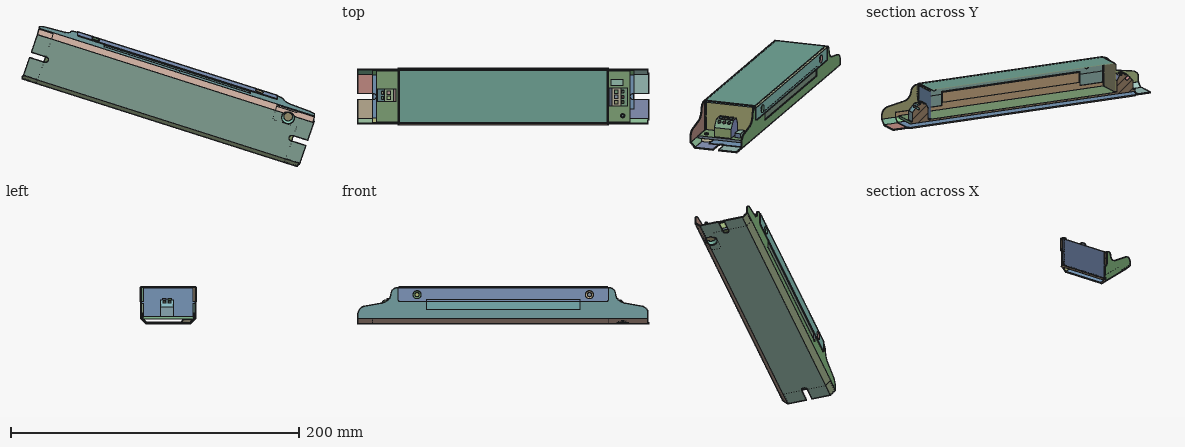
import cadquery as cq
import math

LENGTH = 202.0
WIDTH = 39.5
HEIGHT = 26.0
HALF_LENGTH = LENGTH / 2

COVER_LENGTH = 146.0
COVER_SKIN = 0.55
COVER_SKIRT_BOTTOM = 15.4
COVER_EDGE_CHAMFER = 1.1
SKIRT_CORNER_RADIUS = 1.5
END_PLATE_THICKNESS = 0.8
END_PLATE_NOTCH = 1.5
END_PANEL_WIDTH = 34.2
END_PANEL_STEP = 0.4
END_TAB_BOTTOM = 14.1
END_TAB_TOP = 15.5
HALF_COVER = COVER_LENGTH / 2

SHEET = 0.8
CHANNEL_WIDTH = WIDTH - 2 * COVER_SKIN
CHANNEL_CHAMFER = 3.7
WALL_TOP = 25.2
RIGHT_WALL_SETBACK = 0.6
SLOT_WIDTH = 4.0
SLOT_LENGTH = 13.0

WINDOW_LENGTH = 106.8
WINDOW_BOTTOM = 9.8
WINDOW_TOP = 17.0

FILM = 0.4
FILM_LENGTH = 181.2
FILM_WALL_TOP = 7.6
FILM_CUTOUT_Y = -8.7
BOARD_LENGTH = 176.2
BOARD_WIDTH = 35.4
BOARD_BOTTOM = 3.3
BOARD_THICKNESS = 1.7
BOARD_TOP = BOARD_BOTTOM + BOARD_THICKNESS
HALF_BOARD = BOARD_LENGTH / 2

DIMPLE_X = 59.8
DIMPLE_Z = 20.2
DIMPLE_OUTER_DIAMETER = 5.6
DIMPLE_INNER_DIAMETER = 2.9
DIMPLE_DEPTH = 0.9

EARTH_X = 82.9
EARTH_Y = -13.3
EARTH_BASE_DIAMETER = 10.0
EARTH_TOP_DIAMETER = 6.0
PIN_DIAMETER = 2.9
PIN_HEIGHT = 0.6
PIN_DIMPLE_DIAMETER = 1.6
PIN_DIMPLE_DEPTH = 0.3

POLE_PITCH = 3.6
TERMINAL_SIDE_WALLS = 1.6
TERMINAL_LENGTH = 12.8
TERMINAL_TOP = 16.6
TERMINAL_FRONT_HEIGHT = 11.6
TERMINAL_SLOPE_LENGTH = 4.7
TERMINAL_BACK_RUN = 2.0
TERMINAL_BACK_DROP = 3.4
WIRE_HOLE_DIAMETER = 2.2
WIRE_HOLE_DEPTH = 3.0
WIRE_HOLE_SLOPE_POSITION = 0.3
BUTTON_SIZE = 2.4
BUTTON_HEIGHT = 1.1
LEFT_POLES = 2
LEFT_TERMINAL_BACK = 74.3
LEFT_TERMINAL_Y = 0.85
RIGHT_POLES = 3
RIGHT_TERMINAL_BACK = 73.5
RIGHT_TERMINAL_Y = -0.2

COMPONENT_SIZE = (8.4, 4.2, 3.0)
COMPONENT_CENTER = (78.9, 9.7)


def block(x_range, y_range, z_range):
    """Axis-aligned box between the given limits."""
    limits = (x_range, y_range, z_range)
    sizes = [high - low for low, high in limits]
    return cq.Workplane("XY").box(*sizes, centered=False).translate([low for low, _ in limits])


def trough(length, half_width, bottom, top, chamfer):
    """Prism along X with 45 degree bottom corners."""
    flat = half_width - chamfer
    return (
        cq.Workplane("YZ", origin=(-length / 2, 0, 0))
        .moveTo(-flat, bottom)
        .lineTo(flat, bottom)
        .lineTo(half_width, bottom + chamfer)
        .lineTo(half_width, top)
        .lineTo(-half_width, top)
        .lineTo(-half_width, bottom + chamfer)
        .close()
        .extrude(length)
    )


def bent_sheet(length, offset, thickness, top):
    """Bent sheet whose outer surface lies the given offset inside the channel's outer surface."""
    def nested(depth, upper):
        chamfer = CHANNEL_CHAMFER - depth * (2 - math.sqrt(2))
        return trough(length, CHANNEL_WIDTH / 2 - depth, depth, upper, chamfer)

    return nested(offset, top).cut(nested(offset + thickness, top + 1))


def side_outline():
    """Solid across Y with the wing-shaped side outline of the channel."""
    foot_z = 6.2
    shoulder_z = 12.2
    waist_z = 14.4
    neck_z = 20.5
    shoulder_x = HALF_LENGTH - 4.2
    waist_x = HALF_LENGTH - 16.5
    neck_x = HALF_LENGTH - 23.0
    foot_bulge = (HALF_LENGTH - 1.2, 9.9)
    waist_bulge = (HALF_LENGTH - 21.3, 16.8)
    neck_bulge = (HALF_LENGTH - 24.6, 24.0)

    half = (
        cq.Workplane("XZ", origin=(0, WIDTH / 2, 0))
        .moveTo(0, 0)
        .lineTo(HALF_LENGTH, 0)
        .lineTo(HALF_LENGTH, foot_z)
        .threePointArc(foot_bulge, (shoulder_x, shoulder_z))
        .lineTo(waist_x, waist_z)
        .threePointArc(waist_bulge, (neck_x, neck_z))
        .threePointArc(neck_bulge, (HALF_COVER, WALL_TOP))
        .lineTo(0, WALL_TOP)
        .close()
        .extrude(WIDTH)
    )
    return half.union(half.mirror("YZ"))


def make_channel():
    """Bent channel with wing-shaped walls, end slots and side windows."""
    channel = bent_sheet(LENGTH, 0, SHEET, WALL_TOP).intersect(side_outline())

    wall_trim = block((HALF_LENGTH - RIGHT_WALL_SETBACK, LENGTH), (-WIDTH, WIDTH), (SHEET, HEIGHT))
    channel = channel.cut(wall_trim)

    slot = cq.Workplane("XY").center(HALF_LENGTH, 0).slot2D(2 * SLOT_LENGTH, SLOT_WIDTH).extrude(SHEET)
    channel = channel.cut(slot).cut(slot.mirror("YZ"))

    half_window = WINDOW_LENGTH / 2
    half_width = CHANNEL_WIDTH / 2
    windows = block((-half_window, half_window), (-half_width, half_width), (WINDOW_BOTTOM, WINDOW_TOP))
    return channel.cut(windows)


def make_film():
    """Insulating film lining the channel, raised behind the windows, clear of the earth contact."""
    film = bent_sheet(FILM_LENGTH, SHEET, FILM, WINDOW_TOP + SHEET)
    raised_half = WINDOW_LENGTH / 2 + SHEET
    for side in (-1, 1):
        ends = sorted((side * raised_half, side * HALF_LENGTH))
        film = film.cut(block(ends, (-WIDTH, WIDTH), (FILM_WALL_TOP, HEIGHT)))
    return film.cut(block((HALF_COVER, HALF_LENGTH), (-WIDTH, FILM_CUTOUT_Y), (0, HEIGHT)))


def make_cover():
    """Cover with chamfered top edges, rounded skirt corners and closed ends."""
    half_width = WIDTH / 2
    half_channel = CHANNEL_WIDTH / 2
    inner_half = half_channel - SHEET
    shell = block((-HALF_COVER, HALF_COVER), (-half_width, half_width), (COVER_SKIRT_BOTTOM, HEIGHT))
    shell = shell.edges("|Y and <Z").fillet(SKIRT_CORNER_RADIUS)
    shell = shell.faces(">Z").chamfer(COVER_EDGE_CHAMFER)
    cavity = block((-HALF_COVER, HALF_COVER), (-half_channel, half_channel), (0, HEIGHT - COVER_SKIN))
    cavity = cavity.edges("|X and >Z").chamfer(COVER_EDGE_CHAMFER)
    cover = shell.cut(cavity)

    end_plate = block(
        (HALF_COVER - END_PLATE_THICKNESS, HALF_COVER), (-inner_half, inner_half), (BOARD_TOP, HEIGHT)
    )
    end_plate = end_plate.edges("|X and <Z").chamfer(END_PLATE_NOTCH)
    step_x = (HALF_COVER - END_PANEL_STEP, HALF_COVER)
    for strip_y in ((END_PANEL_WIDTH / 2, inner_half), (-inner_half, -END_PANEL_WIDTH / 2)):
        end_plate = end_plate.cut(block(step_x, strip_y, (0, END_TAB_BOTTOM)))
        end_plate = end_plate.cut(block(step_x, strip_y, (END_TAB_TOP, HEIGHT)))
    envelope = block((-HALF_COVER, HALF_COVER), (-half_width, half_width), (0, HEIGHT))
    end_plate = end_plate.intersect(envelope.faces(">Z").chamfer(COVER_EDGE_CHAMFER))
    return cover.union(end_plate).union(end_plate.mirror("YZ"))


def make_dimple(x, side):
    """Conical recess entering a skirt at the given side (-1 or +1 along Y)."""
    cone = cq.Solid.makeCone(
        DIMPLE_OUTER_DIAMETER / 2,
        DIMPLE_INNER_DIAMETER / 2,
        DIMPLE_DEPTH,
        pnt=cq.Vector(x, side * WIDTH / 2, DIMPLE_Z),
        dir=cq.Vector(0, -side, 0),
    )
    return cq.Workplane(obj=cone)


def make_board():
    """Circuit board with a low component and the earth pin head."""
    half_width = BOARD_WIDTH / 2
    board = block((-HALF_BOARD, HALF_BOARD), (-half_width, half_width), (BOARD_BOTTOM, BOARD_TOP))
    component = cq.Workplane("XY").box(*COMPONENT_SIZE, centered=(True, True, False))
    pin = cq.Workplane("XY").circle(PIN_DIAMETER / 2).extrude(PIN_HEIGHT)
    pin = pin.faces(">Z").workplane().hole(PIN_DIMPLE_DIAMETER, PIN_DIMPLE_DEPTH)
    board = board.union(component.translate((*COMPONENT_CENTER, BOARD_TOP)))
    return board.union(pin.translate((EARTH_X, EARTH_Y, BOARD_TOP)))


def earth_cone(z_shift):
    """Truncated cone of the pressed earth contact, shifted along Z."""
    cone = cq.Solid.makeCone(
        EARTH_BASE_DIAMETER / 2,
        EARTH_TOP_DIAMETER / 2,
        BOARD_BOTTOM,
        pnt=cq.Vector(EARTH_X, EARTH_Y, z_shift),
    )
    return cq.Workplane(obj=cone)


def press_earth_contact(channel):
    """Press a hollow cone up from the channel floor to the underside of the board."""
    envelope = trough(LENGTH, CHANNEL_WIDTH / 2, 0, HEIGHT, CHANNEL_CHAMFER)
    raised = earth_cone(0).intersect(envelope)
    return channel.union(raised).cut(earth_cone(-SHEET))


def make_terminal(poles, back_x, y_center):
    """Terminal block at the right end; wires enter the slope that faces outward."""
    width = poles * POLE_PITCH + TERMINAL_SIDE_WALLS
    front_x = back_x + TERMINAL_LENGTH
    slope_top_x = front_x - TERMINAL_SLOPE_LENGTH
    crest_x = back_x + TERMINAL_BACK_RUN
    body = (
        cq.Workplane("XZ", origin=(0, y_center + width / 2, 0))
        .moveTo(back_x, BOARD_TOP)
        .lineTo(front_x, BOARD_TOP)
        .lineTo(front_x, TERMINAL_FRONT_HEIGHT)
        .lineTo(slope_top_x, TERMINAL_TOP)
        .lineTo(crest_x, TERMINAL_TOP)
        .lineTo(back_x, TERMINAL_TOP - TERMINAL_BACK_DROP)
        .close()
        .extrude(width)
    )

    slope_rise = TERMINAL_TOP - TERMINAL_FRONT_HEIGHT
    hole_x = slope_top_x + TERMINAL_SLOPE_LENGTH * WIRE_HOLE_SLOPE_POSITION
    hole_z = TERMINAL_TOP - slope_rise * WIRE_HOLE_SLOPE_POSITION
    button_x = (crest_x + slope_top_x) / 2
    for pole in range(poles):
        y = y_center + (pole - (poles - 1) / 2) * POLE_PITCH
        wire_hole = cq.Solid.makeCylinder(
            WIRE_HOLE_DIAMETER / 2,
            WIRE_HOLE_DEPTH,
            pnt=cq.Vector(hole_x, y, hole_z),
            dir=cq.Vector(-slope_rise, 0, -TERMINAL_SLOPE_LENGTH),
        )
        button = cq.Workplane("XY").box(BUTTON_SIZE, BUTTON_SIZE, BUTTON_HEIGHT, centered=(True, True, False))
        body = body.cut(cq.Workplane(obj=wire_hole))
        body = body.union(button.translate((button_x, y, TERMINAL_TOP)))
    return body


result = press_earth_contact(make_channel())
result = result.union(make_film()).union(make_cover()).union(make_board())
for dimple_x in (-DIMPLE_X, DIMPLE_X):
    for dimple_side in (-1, 1):
        result = result.cut(make_dimple(dimple_x, dimple_side))
result = result.union(make_terminal(LEFT_POLES, LEFT_TERMINAL_BACK, LEFT_TERMINAL_Y).mirror("YZ"))
result = result.union(make_terminal(RIGHT_POLES, RIGHT_TERMINAL_BACK, RIGHT_TERMINAL_Y))